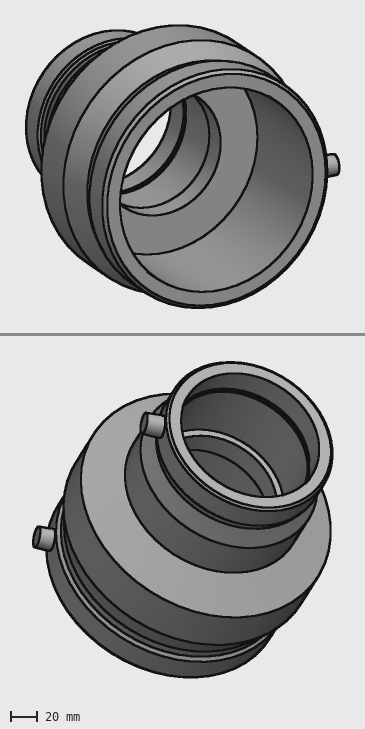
import cadquery as cq
import math

TOTAL_LENGTH = 193.0

SMALL_COLLAR_RADIUS = 132.54 / 2
SMALL_NECK_RADIUS = 128.56 / 2
SMALL_BODY_RADIUS = 141.0 / 2
SMALL_COLLAR_LENGTH = 23.7
SMALL_NECK_END = 29.5
SMALL_CHAMFER = SMALL_COLLAR_RADIUS - SMALL_NECK_RADIUS
SMALL_COLLAR_BACK_CHAMFER = 1.5
SMALL_TAPER_END = 46.4

LARGE_COLLAR_RADIUS = 187.06 / 2
LARGE_NECK_RADIUS = 181.45 / 2
LARGE_BODY_RADIUS = 199.0 / 2
LARGE_CHAMFER = LARGE_COLLAR_RADIUS - LARGE_NECK_RADIUS
LARGE_COLLAR_LENGTH = 27.3
LARGE_BODY_END = 135.7
LARGE_NECK_START = 158.7

SHOULDER_START = 80.8
SHOULDER_ANGLE = 60.0
SHOULDER_LENGTH = (LARGE_BODY_RADIUS - SMALL_BODY_RADIUS) / math.tan(math.radians(SHOULDER_ANGLE))
SHOULDER_END = SHOULDER_START + SHOULDER_LENGTH

SMALL_SOCKET_RADIUS = 110.0 / 2
SMALL_SOCKET_DEPTH = 78.0
GROOVE_START = 22.1
GROOVE_END = 25.6
GROOVE_DEPTH = 0.6
GROOVE_RADIUS = SMALL_SOCKET_RADIUS + GROOVE_DEPTH
BORE_RADIUS = 99.0 / 2
LARGE_SOCKET_RADIUS = 160.0 / 2
LARGE_SOCKET_START = SHOULDER_END

POST_TOP_DIAMETER = 16.0
POST_DRAFT_ANGLE = 2.5
SMALL_POST_X = 12.3
SMALL_POST_TOP = 80.0
LARGE_POST_X = 179.2
LARGE_POST_TOP = 105.0
POST_ROOT_DEPTH = 4.0


def make_body():
    """Turned reducer wall: outer outline toward +X, then sockets, bore and groove back."""
    large_collar_start = TOTAL_LENGTH - LARGE_COLLAR_LENGTH
    outer = [
        (0, SMALL_COLLAR_RADIUS - SMALL_CHAMFER),
        (SMALL_CHAMFER, SMALL_COLLAR_RADIUS),
        (SMALL_COLLAR_LENGTH - SMALL_COLLAR_BACK_CHAMFER, SMALL_COLLAR_RADIUS),
        (SMALL_COLLAR_LENGTH, SMALL_NECK_RADIUS),
        (SMALL_NECK_END, SMALL_NECK_RADIUS),
        (SMALL_TAPER_END, SMALL_BODY_RADIUS),
        (SHOULDER_START, SMALL_BODY_RADIUS),
        (SHOULDER_END, LARGE_BODY_RADIUS),
        (LARGE_BODY_END, LARGE_BODY_RADIUS),
        (LARGE_NECK_START, LARGE_NECK_RADIUS),
        (large_collar_start, LARGE_NECK_RADIUS),
        (large_collar_start + LARGE_CHAMFER, LARGE_COLLAR_RADIUS),
        (TOTAL_LENGTH - LARGE_CHAMFER, LARGE_COLLAR_RADIUS),
        (TOTAL_LENGTH, LARGE_COLLAR_RADIUS - LARGE_CHAMFER),
    ]
    inner = [
        (TOTAL_LENGTH, LARGE_SOCKET_RADIUS),
        (LARGE_SOCKET_START, LARGE_SOCKET_RADIUS),
        (LARGE_SOCKET_START, BORE_RADIUS),
        (SMALL_SOCKET_DEPTH, BORE_RADIUS),
        (SMALL_SOCKET_DEPTH, SMALL_SOCKET_RADIUS),
        (GROOVE_END, SMALL_SOCKET_RADIUS),
        (GROOVE_END, GROOVE_RADIUS),
        (GROOVE_START, GROOVE_RADIUS),
        (GROOVE_START, SMALL_SOCKET_RADIUS),
        (0, SMALL_SOCKET_RADIUS),
    ]
    profile = cq.Workplane("XY").polyline(outer + inner).close()
    return profile.revolve(360, (0, 0, 0), (1, 0, 0))


def make_post(x, top, collar_radius):
    """Post that widens downward from its top face into the collar wall."""
    height = top - collar_radius + POST_ROOT_DEPTH
    top_plane = cq.Workplane("XZ", origin=(x, top, 0))
    return top_plane.circle(POST_TOP_DIAMETER / 2).extrude(height, taper=-POST_DRAFT_ANGLE)


small_post = make_post(SMALL_POST_X, SMALL_POST_TOP, SMALL_COLLAR_RADIUS)
large_post = make_post(LARGE_POST_X, LARGE_POST_TOP, LARGE_COLLAR_RADIUS)
result = make_body().union(small_post).union(large_post)